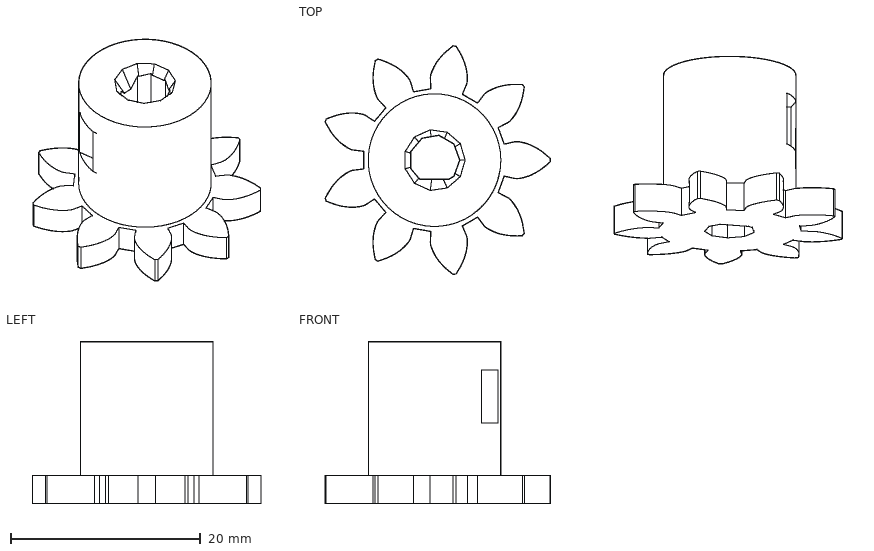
import cadquery as cq
import math

tooth_count = 9
gear_thickness = 3.0
root_radius = 7.55
base_radius = 8.66
tip_radius = 12.23
root_half_angle = math.radians(13.0)
flank_steps = 6

overall_height = 17.11
hub_radius = 7.0

bore_radius = 2.65
bore_sides = 9
bore_flat_offset = 2.0
countersink_radius = 3.23
countersink_sides = 11
countersink_floor_radius = bore_flat_offset
countersink_depth = 2.1

nut_pocket_height = 5.6
nut_pocket_thickness = 1.74
nut_pocket_inner_x = 4.94
nut_pocket_floor_y = 0.0
nut_pocket_top_gap = 3.0


def polar(radius, angle):
    return (radius * math.cos(angle), radius * math.sin(angle))


def polygon_points(radius, sides):
    """Corners of a regular polygon, the first one on +X."""
    return [polar(radius, 2 * math.pi * i / sides) for i in range(sides)]


def flank_half_angle(radius):
    """Half the angle spanned by a tooth at a radius on its involute flank."""
    pressure_angle = math.acos(base_radius / radius)
    return root_half_angle - (math.tan(pressure_angle) - pressure_angle)


def flank_radii():
    """Radii from base to tip, closer together near the base circle."""
    span = tip_radius - base_radius
    return [base_radius + span * (i / flank_steps) ** 2 for i in range(flank_steps + 1)]


def make_gear():
    """Teeth with radial roots and involute flanks, joined by straight root lands."""
    radii = flank_radii()
    pitch_angle = 2 * math.pi / tooth_count
    outline = cq.Workplane("XY").moveTo(*polar(root_radius, -root_half_angle))
    for i in range(tooth_count):
        center = i * pitch_angle
        rising = [polar(r, center - flank_half_angle(r)) for r in radii]
        falling = [polar(r, center + flank_half_angle(r)) for r in reversed(radii)]
        outline = outline.lineTo(*rising[0]).spline(rising[1:], includeCurrent=True)
        outline = outline.lineTo(*falling[0]).spline(falling[1:], includeCurrent=True)
        outline = outline.lineTo(*polar(root_radius, center + root_half_angle))
        if i < tooth_count - 1:
            outline = outline.lineTo(*polar(root_radius, center + pitch_angle - root_half_angle))
    return outline.close().extrude(gear_thickness)


def make_hub():
    return cq.Workplane("XY").circle(hub_radius).extrude(overall_height)


def make_bore():
    """Faceted through bore, cut off along the shaft flat."""
    bore = (
        cq.Workplane("XY")
        .polyline(polygon_points(bore_radius, bore_sides))
        .close()
        .extrude(overall_height)
    )
    beyond_flat = (
        cq.Workplane("XY")
        .rect(2 * bore_radius, bore_radius)
        .extrude(overall_height)
        .translate((0, -bore_flat_offset - bore_radius / 2, 0))
    )
    return bore.cut(beyond_flat)


def make_countersink():
    """Faceted funnel narrowing from the top face until it runs out into the flat."""
    return (
        cq.Workplane("XY")
        .workplane(offset=overall_height - countersink_depth)
        .polyline(polygon_points(countersink_floor_radius, countersink_sides))
        .close()
        .workplane(offset=countersink_depth)
        .polyline(polygon_points(countersink_radius, countersink_sides))
        .close()
        .loft(ruled=True)
    )


def make_nut_pocket():
    """Slot entering from -Y beside the bore and ending level with the hub axis."""
    length = nut_pocket_floor_y + hub_radius
    bottom = overall_height - nut_pocket_top_gap - nut_pocket_height
    return (
        cq.Workplane("XY")
        .box(nut_pocket_thickness, length, nut_pocket_height, centered=False)
        .translate((nut_pocket_inner_x, -hub_radius, bottom))
    )


result = (
    make_gear()
    .union(make_hub())
    .cut(make_bore())
    .cut(make_countersink())
    .cut(make_nut_pocket())
)